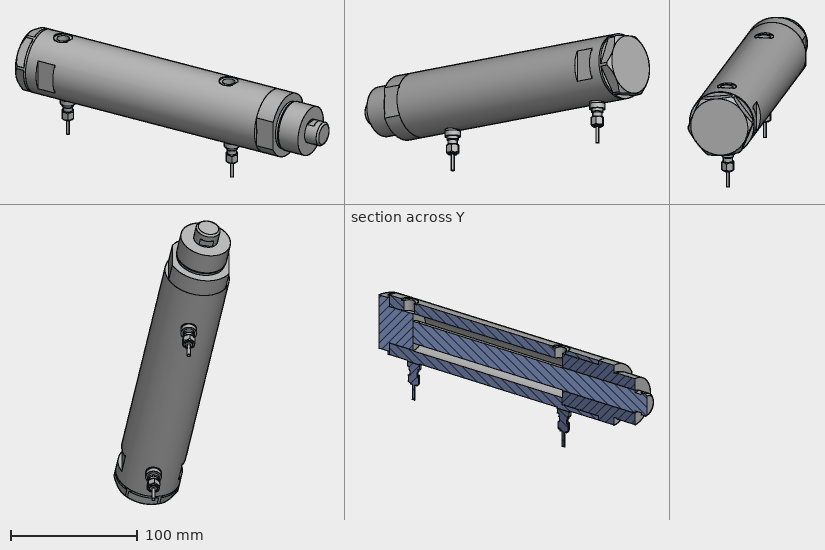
import cadquery as cq
import math

LENGTH = 269.0
BODY_DIA = 52.0
FLATS_WIDTH = 45.7
FLATS_HALF = FLATS_WIDTH / 2
BORE_DIA = 32.0
ROD_DIA = 19.5
HEX_SIDES = 6
HEX_HALF_ANGLE = 180 / HEX_SIDES

CAP_HEX_WIDTH = 46.0
CAP_HEX_LENGTH = 9.1
CAP_FLANGE_END = 11.0
CAP_SPIGOT_END = 34.7
CAP_TURN = 22.5
CAP_CHAMFER = (BODY_DIA - CAP_HEX_WIDTH) / 2

TUBE_END = 220.5
TUBE_FLAT_START = 20.7
TUBE_FLAT_END = 36.0
PORT_X = (30.5, 181.9)
PORT_DIA = 10.0
PORT_FACE_DIA = 15.0
PORT_FACE_HEIGHT = 24.7

HEAD_SPIGOT_START = 184.0
HEAD_SPIGOT_DIA = 43.9
HEAD_END = 236.0
NECK_END = 237.8
NECK_DIA = 38.7
COLLAR_DIA = 40.0
COLLAR_END = 257.0
COLLAR_CHAMFER_LENGTH = 1.3
COLLAR_CHAMFER_DEPTH = (COLLAR_DIA - NECK_DIA) / 2

ROD_FLATS_WIDTH = 16.1
ROD_FLAT_END = 262.8
ROD_CHAMFER = 1.5

SENSOR_X = (34.7, 184.8)
SENSOR_SEAT = 27.0
SENSOR_FLANGE_DIA = 12.5
SENSOR_FLANGE_END = 31.0
SENSOR_STEP_DIA = 9.1
SENSOR_STEP_END = 34.2
SENSOR_STEP_CHAMFER = 0.8
SENSOR_NECK_DIA = 7.5
NUT_TOP = 37.5
NUT_BOTTOM = 44.7
NUT_WIDTH = 9.1
NUT_CHAMFER = 1.0
NUT_CORNER_DIA = NUT_WIDTH / math.cos(math.radians(HEX_HALF_ANGLE))
CABLE_COLLAR_DIA = 6.2
CABLE_COLLAR_END = 45.5
CABLE_DIA = 2.5
CABLE_END = 58.5


def rod_between(x_start, x_end, diameter):
    """Cylinder on the X axis."""
    return cq.Workplane("YZ").workplane(offset=x_start).circle(diameter / 2).extrude(x_end - x_start)


def drop_between(x, level_start, level_end, diameter):
    """Cylinder pointing down at x, between two distances below the axis."""
    plane = cq.Workplane("XY", origin=(x, 0, -level_start))
    return plane.circle(diameter / 2).extrude(level_start - level_end)


def side_flats(x_start, x_end):
    """The two blocks that cut spanner flats into the -Y and +Y sides of the body."""
    length = x_end - x_start
    depth = BODY_DIA / 2 - FLATS_HALF
    centers = [((x_start + x_end) / 2, side * (FLATS_HALF + depth / 2)) for side in (-1, 1)]
    return cq.Workplane("XY").pushPoints(centers).box(length, depth, BODY_DIA)


def make_cap():
    corner_dia = CAP_HEX_WIDTH / math.cos(math.radians(HEX_HALF_ANGLE))
    hexagon = (
        cq.Workplane("YZ").polygon(HEX_SIDES, corner_dia).extrude(CAP_HEX_LENGTH)
        .rotate((0, 0, 0), (1, 0, 0), HEX_HALF_ANGLE)
    )
    rounding = rod_between(0, CAP_HEX_LENGTH, BODY_DIA).faces("<X").chamfer(CAP_CHAMFER)
    flange = rod_between(CAP_HEX_LENGTH, CAP_FLANGE_END, BODY_DIA)
    spigot = rod_between(CAP_FLANGE_END, CAP_SPIGOT_END, BORE_DIA)
    cap = hexagon.intersect(rounding).union(flange).union(spigot)
    return cap.rotate((0, 0, 0), (1, 0, 0), CAP_TURN)


def make_tube():
    tube = rod_between(CAP_FLANGE_END, TUBE_END, BODY_DIA)
    tube = tube.cut(side_flats(TUBE_FLAT_START, TUBE_FLAT_END))
    for x in SENSOR_X:
        tube = tube.union(drop_between(x, FLATS_HALF, SENSOR_SEAT, SENSOR_FLANGE_DIA))
    for x in PORT_X:
        spot_face = cq.Workplane("XY", origin=(x, 0, PORT_FACE_HEIGHT)).circle(PORT_FACE_DIA / 2)
        port = cq.Workplane("XY", origin=(x, 0, 0)).circle(PORT_DIA / 2)
        tube = tube.cut(spot_face.extrude(BODY_DIA)).cut(port.extrude(BODY_DIA))
    bore = rod_between(CAP_FLANGE_END, TUBE_END, BORE_DIA)
    head_counterbore = rod_between(HEAD_SPIGOT_START, TUBE_END, HEAD_SPIGOT_DIA)
    return tube.cut(bore).cut(head_counterbore)


def make_head():
    spigot = rod_between(HEAD_SPIGOT_START, TUBE_END, HEAD_SPIGOT_DIA)
    block = rod_between(TUBE_END, HEAD_END, BODY_DIA).cut(side_flats(TUBE_END, HEAD_END))
    neck = rod_between(HEAD_END, NECK_END, NECK_DIA)
    collar = rod_between(NECK_END, COLLAR_END, COLLAR_DIA)
    collar = collar.faces("<X").chamfer(COLLAR_CHAMFER_LENGTH, COLLAR_CHAMFER_DEPTH)
    head = spigot.union(block).union(neck).union(collar)
    return head.cut(rod_between(HEAD_SPIGOT_START, COLLAR_END, ROD_DIA))


def make_rod():
    rod = rod_between(CAP_SPIGOT_END, LENGTH, ROD_DIA).faces(">X").chamfer(ROD_CHAMFER)
    flat_length = ROD_FLAT_END - COLLAR_END
    for side in (-1, 1):
        flat = cq.Workplane("XY").box(flat_length, ROD_DIA, ROD_DIA)
        height = side * (ROD_FLATS_WIDTH + ROD_DIA) / 2
        rod = rod.cut(flat.translate(((COLLAR_END + ROD_FLAT_END) / 2, 0, height)))
    return rod


def make_sensor(x):
    flange = drop_between(x, SENSOR_SEAT, SENSOR_FLANGE_END, SENSOR_FLANGE_DIA)
    step = drop_between(x, SENSOR_FLANGE_END, SENSOR_STEP_END, SENSOR_STEP_DIA)
    step = step.faces("<Z").chamfer(SENSOR_STEP_CHAMFER)
    neck = drop_between(x, SENSOR_STEP_END, NUT_TOP, SENSOR_NECK_DIA)
    nut = (
        cq.Workplane("XY", origin=(x, 0, -NUT_BOTTOM))
        .polygon(HEX_SIDES, NUT_CORNER_DIA)
        .extrude(NUT_BOTTOM - NUT_TOP)
    )
    rounding = drop_between(x, NUT_TOP, NUT_BOTTOM, NUT_CORNER_DIA).faces("<Z or >Z").chamfer(NUT_CHAMFER)
    nut = nut.intersect(rounding)
    cable_collar = drop_between(x, NUT_BOTTOM, CABLE_COLLAR_END, CABLE_COLLAR_DIA)
    cable = drop_between(x, CABLE_COLLAR_END, CABLE_END, CABLE_DIA)
    return flange.union(step).union(neck).union(nut).union(cable_collar).union(cable)


cap = make_cap()
tube = make_tube()
head = make_head()
rod = make_rod()
sensors = [make_sensor(x) for x in SENSOR_X]

result = cq.Compound.makeCompound(
    [cap.val(), tube.val(), head.val(), rod.val(), *[sensor.val() for sensor in sensors]]
)